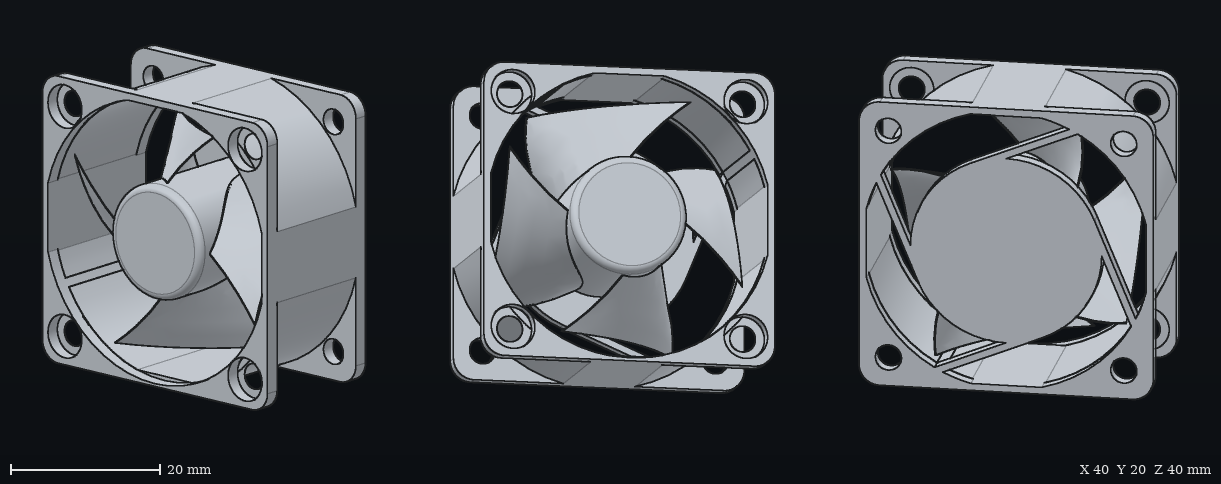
import cadquery as cq

FRAME_SIZE = 40.0
FRAME_DEPTH = 20.0
FLANGE_THICKNESS = 2.0
CORNER_RADIUS = 2.8
TUBE_WALL = 1.0
BORE_RADIUS = 19.6
BORE_RELIEF = 0.05
BORE_FLAT = FRAME_SIZE / 2 - TUBE_WALL
TUBE_RADIUS = BORE_RADIUS + TUBE_WALL
FRONT_Y = -FRAME_DEPTH / 2
BACK_Y = FRAME_DEPTH / 2
TUBE_FRONT_Y = FRONT_Y + FLANGE_THICKNESS
TUBE_LENGTH = FRAME_DEPTH - 2 * FLANGE_THICKNESS

HOLE_OFFSET = 16.0
HOLE_DIAMETER = 3.5
COUNTERBORE_DIAMETER = 6.0
COUNTERBORE_DEPTH = 1.9

MOUNT_RADIUS = 13.0
STRUT_WIDTH = 1.0
STRUT_COUNT = 4
STRUT_TILT = 22.5
MOUNT_Y = BACK_Y - FLANGE_THICKNESS

HUB_RADIUS = 8.0
HUB_FILLET = 1.0
BLADE_COUNT = 4
BLADE_FRONT_Y = TUBE_FRONT_Y
BLADE_BACK_Y = MOUNT_Y
BLADE_WIDTH = 0.15
BLADE_BULGE = 0.1
BLADE_ROOT = (2.4, -6.8, -2.9)
BLADE_MIDDLE = (9.6, -9.65, 1.7)
BLADE_TIP = (16.0, -10.0, 8.75)


def along_y(y_start):
    """Sketch plane at y_start whose extrusion runs toward +Y, with local y along +Z."""
    plane = cq.Plane(origin=(0, y_start, 0), xDir=(-1, 0, 0), normal=(0, 1, 0))
    return cq.Workplane(plane)


def flat_sided_cylinder(radius, half_width, y_start, length):
    """Cylinder along Y, cut flat on its four sides."""
    cylinder = along_y(y_start).circle(radius).extrude(length)
    square = along_y(y_start).rect(2 * half_width, 2 * half_width).extrude(length)
    return cylinder.intersect(square)


def flange(y_start):
    """Square plate with rounded corners."""
    plate = along_y(y_start).rect(FRAME_SIZE, FRAME_SIZE).extrude(FLANGE_THICKNESS)
    return plate.edges("|Y").fillet(CORNER_RADIUS)


def hole_set(diameter, y_start, depth):
    """Cylinders at the four mounting positions."""
    spacing = 2 * HOLE_OFFSET
    corners = along_y(y_start).rect(spacing, spacing, forConstruction=True).vertices()
    return corners.circle(diameter / 2).extrude(depth)


def lower_mouth():
    """Round lower half of the front opening, where the front flange has no lower flat."""
    disc = along_y(FRONT_Y).circle(BORE_RADIUS).extrude(FLANGE_THICKNESS)
    lower_center = along_y(FRONT_Y).center(0, -BORE_RADIUS / 2)
    lower_half = lower_center.rect(2 * BORE_FLAT, BORE_RADIUS).extrude(FLANGE_THICKNESS)
    return disc.intersect(lower_half)


def struts(y_start, length):
    """Bars tangent to the mount disc, each running out into the tube wall."""
    strut = (
        cq.Workplane("XY")
        .box(TUBE_RADIUS, length, STRUT_WIDTH, centered=False)
        .translate((-TUBE_RADIUS, y_start, MOUNT_RADIUS - STRUT_WIDTH))
        .rotate((0, 0, 0), (0, 1, 0), STRUT_TILT)
    )
    bars = strut
    for i in range(1, STRUT_COUNT):
        bars = bars.union(strut.rotate((0, 0, 0), (0, 1, 0), i * 360 / STRUT_COUNT))
    mid_wall = BORE_RADIUS + TUBE_WALL / 2
    return bars.intersect(along_y(y_start).circle(mid_wall).extrude(length))


def motor_mount():
    """Disc behind the rotor, tied to the tube by struts."""
    disc = along_y(MOUNT_Y).circle(MOUNT_RADIUS).extrude(FLANGE_THICKNESS)
    return disc.union(struts(MOUNT_Y, FLANGE_THICKNESS))


def bore_relief():
    """Shallow enlargement between the flanges, leaving a low ridge in line with each strut."""
    relief = flat_sided_cylinder(BORE_RADIUS + BORE_RELIEF, BORE_FLAT, TUBE_FRONT_Y, TUBE_LENGTH)
    return relief.cut(struts(TUBE_FRONT_Y, TUBE_LENGTH))


def make_frame():
    """Housing with its mounting holes, bore and motor mount."""
    frame = flat_sided_cylinder(TUBE_RADIUS, FRAME_SIZE / 2, TUBE_FRONT_Y, TUBE_LENGTH)
    frame = frame.union(flange(FRONT_Y)).union(flange(MOUNT_Y))
    frame = frame.cut(flat_sided_cylinder(BORE_RADIUS, BORE_FLAT, FRONT_Y, FRAME_DEPTH))
    frame = frame.cut(bore_relief())
    frame = frame.cut(lower_mouth())
    frame = frame.cut(hole_set(HOLE_DIAMETER, FRONT_Y, FRAME_DEPTH))
    frame = frame.cut(hole_set(COUNTERBORE_DIAMETER, FRONT_Y, COUNTERBORE_DEPTH))
    return frame.union(motor_mount())


def blade_section(height, rear_x, front_x):
    """Thin arched outline at one height, running from the rear edge to the front edge."""
    run = front_x - rear_x
    rise = BLADE_FRONT_Y - BLADE_BACK_Y
    mid_x = (front_x + rear_x) / 2 + BLADE_BULGE * rise
    mid_y = (BLADE_FRONT_Y + BLADE_BACK_Y) / 2 - BLADE_BULGE * run
    rear = cq.Vector(rear_x, BLADE_BACK_Y, height)
    middle = cq.Vector(mid_x, mid_y, height)
    front = cq.Vector(front_x, BLADE_FRONT_Y, height)
    shift = cq.Vector(BLADE_WIDTH, 0, 0)
    edges = [
        cq.Edge.makeThreePointArc(rear, middle, front),
        cq.Edge.makeLine(front, front + shift),
        cq.Edge.makeThreePointArc(front + shift, middle + shift, rear + shift),
        cq.Edge.makeLine(rear + shift, rear),
    ]
    return cq.Wire.assembleEdges(edges)


def make_rotor():
    """Hub with a rounded front rim and lofted blades."""
    rotor = along_y(FRONT_Y).circle(HUB_RADIUS).extrude(MOUNT_Y - FRONT_Y)
    rotor = rotor.faces("<Y").edges().fillet(HUB_FILLET)
    sections = [blade_section(*sizes) for sizes in (BLADE_ROOT, BLADE_MIDDLE, BLADE_TIP)]
    blade = cq.Workplane(cq.Solid.makeLoft(sections))
    for i in range(BLADE_COUNT):
        angle = i * 360 / BLADE_COUNT
        rotor = rotor.union(blade.rotate((0, 0, 0), (0, 1, 0), angle))
    return rotor


frame = make_frame()
rotor = make_rotor()
result = cq.Compound.makeCompound([frame.val(), rotor.val()])